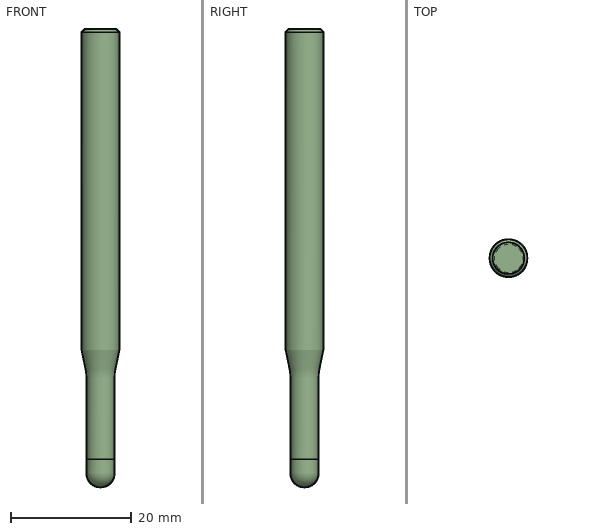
import cadquery as cq
import math

total_length = 76.2
shank_radius = 6.3 / 2
neck_diameter = 4.7
neck_radius = neck_diameter / 2
top_chamfer = 0.5

tip_length = neck_diameter
blend_bottom = 18.3
blend_top = 19.65
taper_top = 22.85

blend_height = blend_top - blend_bottom
taper_height = taper_top - blend_top
half_angle_tangent = (shank_radius - neck_radius) / (blend_height + 2 * taper_height)
taper_angle = 2 * math.atan(half_angle_tangent)
blend_radius = blend_height / math.sin(taper_angle)


def blend_point(angle):
    """Point on the concave blend where its side leans outward by the given angle."""
    return (
        neck_radius + blend_radius * (1 - math.cos(angle)),
        blend_bottom + blend_radius * math.sin(angle),
    )


def make_ball_tip():
    """Short cylinder with a hemispherical lower end."""
    diagonal = neck_radius * math.sqrt(0.5)
    return (
        cq.Workplane("XZ")
        .moveTo(0, 0)
        .threePointArc((diagonal, neck_radius - diagonal), (neck_radius, neck_radius))
        .lineTo(neck_radius, tip_length)
        .lineTo(0, tip_length)
        .close()
        .revolve(360, (0, 0), (0, 1))
    )


def make_shank():
    """Neck, blend, taper and chamfered shank, seated flat on the ball tip."""
    return (
        cq.Workplane("XZ")
        .moveTo(0, tip_length)
        .lineTo(neck_radius, tip_length)
        .lineTo(neck_radius, blend_bottom)
        .threePointArc(blend_point(taper_angle / 2), blend_point(taper_angle))
        .lineTo(shank_radius, taper_top)
        .lineTo(shank_radius, total_length - top_chamfer)
        .lineTo(shank_radius - top_chamfer, total_length)
        .lineTo(0, total_length)
        .close()
        .revolve(360, (0, 0), (0, 1))
    )


ball_tip = make_ball_tip()
shank = make_shank()

result = cq.Compound.makeCompound([ball_tip.val(), shank.val()])